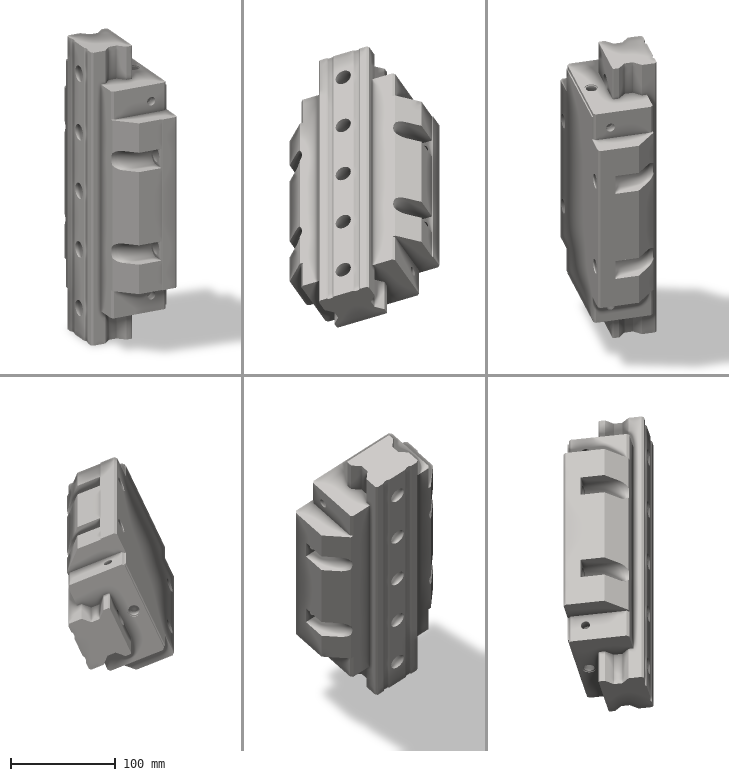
import cadquery as cq

RAIL_LENGTH = 300.0
RAIL_HEIGHT = 43.8
RAIL_HALF_WIDTH = 26.5
RAIL_WAIST_HALF_WIDTH = 19.2
WAIST_DEPTH = RAIL_HALF_WIDTH - RAIL_WAIST_HALF_WIDTH
WAIST_LOW = 22.0
WAIST_HIGH = 30.3
RAIL_BASE_CHAMFER = 1.8
RAIL_TOP_CHAMFER = 1.0
RELIEF_INNER = 10.2
RELIEF_OUTER = 17.5
RELIEF_DEPTH = 1.2
RELIEF_FLANK = 1.5
RAIL_HOLE_DIAMETER = 16.0
RAIL_HOLE_PITCH = 60.0
RAIL_HOLE_COUNT = 5

CARRIAGE_TOP = 70.0
CARRIAGE_BOTTOM = 10.0
BLOCK_LENGTH = 175.0
BLOCK_WIDTH = 140.0
BLOCK_HALF_WIDTH = BLOCK_WIDTH / 2
BLOCK_BOTTOM_HALF_WIDTH = 50.0
BLOCK_BEVEL_TOP = CARRIAGE_BOTTOM + BLOCK_HALF_WIDTH - BLOCK_BOTTOM_HALF_WIDTH
EDGE_CHAMFER = 2.0
FLANGE_THICKNESS = 17.0
FLANGE_UNDERSIDE = CARRIAGE_TOP - FLANGE_THICKNESS
REFERENCE_STEP = 1.0
REFERENCE_FACE_DEPTH = 16.5
REFERENCE_STEP_Y = CARRIAGE_TOP - REFERENCE_FACE_DEPTH

CAP_TOTAL_LENGTH = 232.2
CAP_HALF_WIDTH = 49.2
CAP_TOP = 68.7
PLATE_LENGTH = 225.0
PLATE_HALF_WIDTH = CAP_HALF_WIDTH - EDGE_CHAMFER

BOLT_X = 58.0
BOLT_Z = 47.5
BOLT_DIAMETER = 14.0
POCKET_WIDTH = 19.8

SIDE_PORT_DIAMETER = 8.7
SIDE_PORT_DEPTH = 9.0
SIDE_PORT_Y = 52.2
SIDE_PORT_Z = 99.3
END_PORT_DIAMETER = 10.5
END_PORT_RIM_DIAMETER = 12.5
END_PORT_RIM_DEPTH = 1.0
END_PORT_DEPTH = 9.0
END_PORT_Y = 58.0


def centred_prism(outline, length):
    """Extrude a closed XY outline along Z, centred on z = 0."""
    return cq.Workplane("XY").polyline(outline).close().extrude(length / 2, both=True)


def centred_box(half_width, bottom, top, length):
    """Box symmetric about x = 0 and z = 0, between two heights along Y."""
    return cq.Workplane("XY").box(2 * half_width, top - bottom, length).translate((0, (bottom + top) / 2, 0))


def rail_profile():
    """Waisted rail outline: the right side, then its mirror image."""
    right = [
        (RAIL_HALF_WIDTH - RAIL_BASE_CHAMFER, 0),
        (RAIL_HALF_WIDTH, RAIL_BASE_CHAMFER),
        (RAIL_HALF_WIDTH, WAIST_LOW - WAIST_DEPTH),
        (RAIL_WAIST_HALF_WIDTH, WAIST_LOW),
        (RAIL_WAIST_HALF_WIDTH, WAIST_HIGH),
        (RAIL_HALF_WIDTH, WAIST_HIGH + WAIST_DEPTH),
        (RAIL_HALF_WIDTH, RAIL_HEIGHT - RAIL_TOP_CHAMFER),
        (RAIL_HALF_WIDTH - RAIL_TOP_CHAMFER, RAIL_HEIGHT),
    ]
    left = [(-x, y) for x, y in reversed(right)]
    return right + left


def relief_groove(side):
    """Shallow trapezoidal groove along the rail base, on the +X (1) or -X (-1) side."""
    return centred_prism(
        [
            (side * RELIEF_INNER, 0),
            (side * (RELIEF_INNER + RELIEF_FLANK), RELIEF_DEPTH),
            (side * (RELIEF_OUTER - RELIEF_FLANK), RELIEF_DEPTH),
            (side * RELIEF_OUTER, 0),
        ],
        RAIL_LENGTH,
    )


def cylinder_along_y(diameter, x, z, bottom, top):
    axis = cq.Vector(0, 1, 0)
    return cq.Workplane(cq.Solid.makeCylinder(diameter / 2, top - bottom, cq.Vector(x, bottom, z), axis))


def make_rail():
    rail = centred_prism(rail_profile(), RAIL_LENGTH)
    for side in (-1, 1):
        rail = rail.cut(relief_groove(side))
    for i in range(RAIL_HOLE_COUNT):
        z = (i - (RAIL_HOLE_COUNT - 1) / 2) * RAIL_HOLE_PITCH
        rail = rail.cut(cylinder_along_y(RAIL_HOLE_DIAMETER, 0, z, 0, RAIL_HEIGHT))
    return rail


def flanged_block():
    """Middle block: bevelled below both flanges, with a reference step on the +X side."""
    stepped_half_width = BLOCK_HALF_WIDTH - REFERENCE_STEP
    return centred_prism(
        [
            (-BLOCK_BOTTOM_HALF_WIDTH, CARRIAGE_BOTTOM),
            (BLOCK_BOTTOM_HALF_WIDTH, CARRIAGE_BOTTOM),
            (stepped_half_width, BLOCK_BEVEL_TOP - REFERENCE_STEP),
            (stepped_half_width, REFERENCE_STEP_Y),
            (BLOCK_HALF_WIDTH, REFERENCE_STEP_Y),
            (BLOCK_HALF_WIDTH, CARRIAGE_TOP - EDGE_CHAMFER),
            (BLOCK_HALF_WIDTH - EDGE_CHAMFER, CARRIAGE_TOP),
            (-BLOCK_HALF_WIDTH + EDGE_CHAMFER, CARRIAGE_TOP),
            (-BLOCK_HALF_WIDTH, CARRIAGE_TOP - EDGE_CHAMFER),
            (-BLOCK_HALF_WIDTH, BLOCK_BEVEL_TOP),
        ],
        BLOCK_LENGTH,
    )


def bolt_cut(side, z):
    """Bolt hole through the flange plus the round-ended pocket beneath it."""
    hole = cylinder_along_y(BOLT_DIAMETER, side * BOLT_X, z, 0, CARRIAGE_TOP)
    pocket_end = cylinder_along_y(POCKET_WIDTH, side * BOLT_X, z, 0, FLANGE_UNDERSIDE)
    run_out = BLOCK_HALF_WIDTH - BOLT_X
    run_out_centre = (side * (BOLT_X + run_out / 2), FLANGE_UNDERSIDE / 2, z)
    pocket_run = cq.Workplane("XY").box(run_out, FLANGE_UNDERSIDE, POCKET_WIDTH).translate(run_out_centre)
    return hole.union(pocket_end).union(pocket_run)


def side_port(side, end):
    """Blind round port in the side face of an end cap."""
    start = cq.Vector(side * CAP_HALF_WIDTH, SIDE_PORT_Y, end * SIDE_PORT_Z)
    inward = cq.Vector(-side, 0, 0)
    return cq.Workplane(cq.Solid.makeCylinder(SIDE_PORT_DIAMETER / 2, SIDE_PORT_DEPTH, start, inward))


def end_port(end):
    """Blind port with a shallow counterbore in the outer face of an end cap."""
    start = cq.Vector(0, END_PORT_Y, end * CAP_TOTAL_LENGTH / 2)
    inward = cq.Vector(0, 0, -end)
    bore = cq.Solid.makeCylinder(END_PORT_DIAMETER / 2, END_PORT_DEPTH, start, inward)
    rim = cq.Solid.makeCylinder(END_PORT_RIM_DIAMETER / 2, END_PORT_RIM_DEPTH, start, inward)
    return cq.Workplane(bore).union(cq.Workplane(rim))


def make_carriage():
    caps = centred_box(CAP_HALF_WIDTH, CARRIAGE_BOTTOM, CAP_TOP, CAP_TOTAL_LENGTH)
    caps = caps.edges("|Z").chamfer(EDGE_CHAMFER)
    top_plate = centred_box(PLATE_HALF_WIDTH, CAP_TOP, CARRIAGE_TOP, PLATE_LENGTH)
    carriage = flanged_block().union(caps).union(top_plate)
    carriage = carriage.cut(centred_prism(rail_profile(), RAIL_LENGTH))
    for side in (-1, 1):
        for end in (-1, 1):
            carriage = carriage.cut(bolt_cut(side, end * BOLT_Z))
            carriage = carriage.cut(side_port(side, end))
    for end in (-1, 1):
        carriage = carriage.cut(end_port(end))
    return carriage


rail = make_rail()
carriage = make_carriage()
result = cq.Compound.makeCompound([rail.val(), carriage.val()])